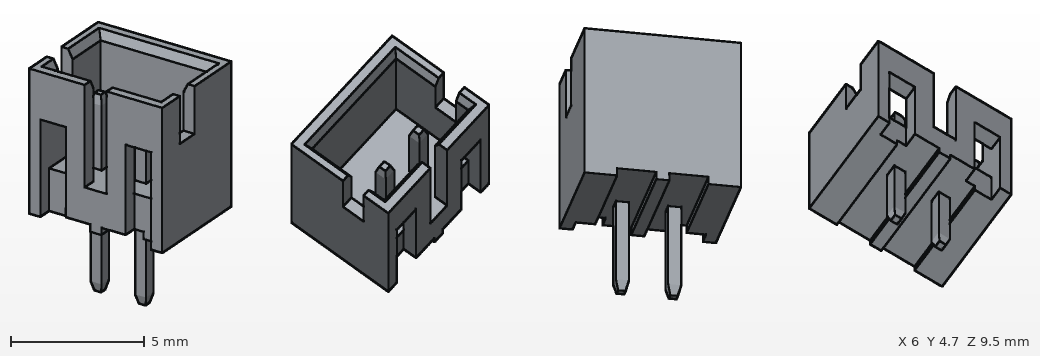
import cadquery as cq


housing_width = 6.0
housing_depth = 4.7
pin_tail_length = 3.4
overall_height = 9.5
housing_height = overall_height - pin_tail_length

side_wall = 0.5
end_wall = 0.6
floor_top = 1.8
lead_in_width = 0.2
lead_in_height = 0.39
cavity_width = housing_width - 2 * side_wall
cavity_depth = housing_depth - 2 * end_wall

slot_width = 1.0
side_slot_depth = 2.0
side_slot_bottom = housing_height - side_slot_depth
side_slot_y = 1.7

window_top = side_slot_bottom
window_inner_x = 1.35
window_outer_x = cavity_width / 2
window_width = window_outer_x - window_inner_x

pin_pitch = 2.0
pin_size = 0.5
pin_tip_size = 0.29
pin_taper_length = 0.4
pin_length = 8.3
pin_y = 1.8
pin_positions = [-pin_pitch / 2, pin_pitch / 2]

relief_width = 1.5
relief_height = 0.3


def block(width, depth, height, x_centre, y_front, z_bottom):
    """Box centred on x_centre, reaching back from y_front and up from z_bottom."""
    box = cq.Workplane("XY").box(width, depth, height, centered=(True, False, False))
    return box.translate((x_centre, y_front, z_bottom))


def frustum(bottom_width, bottom_depth, top_width, top_depth, height, x_centre, y_centre, z_bottom):
    """Straight-sided taper between two rectangles that share a vertical axis."""
    return (
        cq.Workplane("XY", origin=(x_centre, y_centre, z_bottom))
        .rect(bottom_width, bottom_depth)
        .workplane(offset=height)
        .rect(top_width, top_depth)
        .loft(ruled=True)
    )


def make_cavity():
    """Rectangular well that flares outwards at the rim."""
    well = block(cavity_width, cavity_depth, housing_height - floor_top, 0, end_wall, floor_top)
    lead_in = frustum(
        cavity_width,
        cavity_depth,
        cavity_width + 2 * lead_in_width,
        cavity_depth + 2 * lead_in_width,
        lead_in_height,
        0,
        housing_depth / 2,
        housing_height - lead_in_height,
    )
    return well.union(lead_in)


def make_pin(x):
    """Square pin with a tapered tip at each end."""
    shaft_bottom = pin_taper_length - pin_tail_length
    shaft_length = pin_length - 2 * pin_taper_length
    shaft_top = shaft_bottom + shaft_length
    shaft = block(pin_size, pin_size, shaft_length, x, pin_y - pin_size / 2, shaft_bottom)
    lower_tip = frustum(
        pin_tip_size, pin_tip_size, pin_size, pin_size, pin_taper_length, x, pin_y, -pin_tail_length
    )
    upper_tip = frustum(
        pin_size, pin_size, pin_tip_size, pin_tip_size, pin_taper_length, x, pin_y, shaft_top
    )
    return shaft.union(lower_tip).union(upper_tip).solids().val()


def make_housing():
    """Shroud with its cavity, wall slots, windows, relief channels and pin holes."""
    body = block(housing_width, housing_depth, housing_height, 0, 0, 0)
    body = body.cut(make_cavity())

    body = body.cut(block(slot_width, end_wall, housing_height - floor_top, 0, 0, floor_top))

    side_slot_front = side_slot_y - slot_width / 2
    body = body.cut(block(housing_width, slot_width, side_slot_depth, 0, side_slot_front, side_slot_bottom))

    window_x = (window_inner_x + window_outer_x) / 2
    for x in (-window_x, window_x):
        body = body.cut(block(window_width, end_wall, window_top, x, 0, 0))

    for x in pin_positions:
        body = body.cut(block(relief_width, housing_depth, relief_height, x, 0, 0))
        body = body.cut(block(pin_size, pin_size, floor_top, x, pin_y - pin_size / 2, 0))
    return body.solids().val()


housing = make_housing()
pins = [make_pin(x) for x in pin_positions]

result = cq.Compound.makeCompound([housing, *pins])